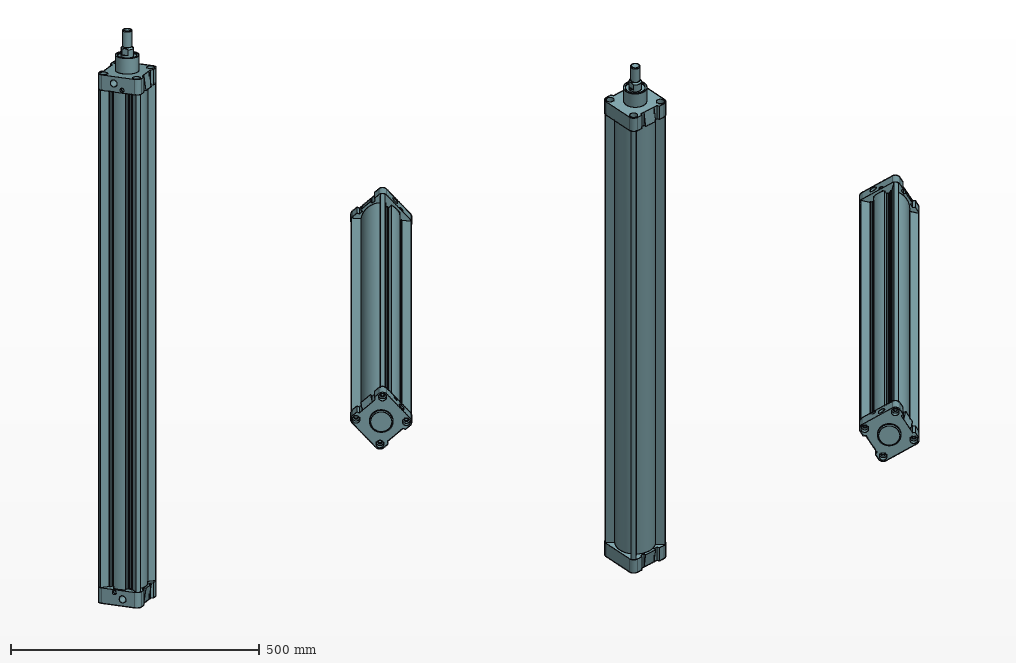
import cadquery as cq
import math


total_length = 1218.0
spigot_height = 6.0
cap_height = 33.0
rear_cap_top = spigot_height + cap_height
front_cap_top = 1132.0
front_cap_bottom = front_cap_top - cap_height
guide_top = 1165.0
shaft_top = 1183.0

cap_width = 94.0
half_width = cap_width / 2
corner_radius = 11.0
corner_center = half_width - corner_radius
screw_hole_diameter = 16.0
screw_hole_depth = 12.0
socket_diameter = 9.0
socket_depth = 18.0

recess_width = 48.0
recess_depth = 5.0
recess_wall_slant = 2.0
rib_width = 27.0

port_diameter = 15.0
port_offset = 10.0
port_end_distance = 15.0
cushion_diameter = 9.0
cushion_depth = 6.0
cushion_offset = 9.0
cushion_tube_distance = 6.0
chamber_diameter = 32.0
chamber_wall = 6.0

barrel_radius = 41.0
post_edge = 39.0
post_radius = 10.4
slot_center = 18.0
slot_width = 11.0
slot_ledge = 32.0
groove_width = 4.0
groove_floor = 28.0

guide_diameter = 48.0
seal_seat_diameter = 40.0
seal_seat_depth = 2.0
spigot_chamfer = 2.0
shaft_diameter = 25.0
shaft_chamfer = 4.0
flats_width = 22.0
flats_bottom = 1167.0
thread_diameter = 20.0
thread_chamfer = 1.8


def cylinder(diameter, bottom, top):
    return cq.Workplane("XY").workplane(offset=bottom).circle(diameter / 2).extrude(top - bottom)


def box(x_range, y_range, z_range):
    size = [high - low for low, high in (x_range, y_range, z_range)]
    corner = (x_range[0], y_range[0], z_range[0])
    return cq.Workplane("XY").box(*size, centered=False).translate(corner)


def side_recess(outer_z, inner_z):
    """Recess with slanted walls on the +X side; the rib left in it fades out at the cap's outer end."""
    floor_x = half_width - recess_depth
    mouth = recess_width / 2
    floor = mouth - recess_wall_slant
    recess = (
        cq.Workplane("XY")
        .workplane(offset=min(outer_z, inner_z))
        .polyline([(half_width, -mouth), (half_width, mouth), (floor_x, floor), (floor_x, -floor)])
        .close()
        .extrude(cap_height)
    )
    rib = (
        cq.Workplane("XZ")
        .polyline([(floor_x, inner_z), (half_width, inner_z), (floor_x, outer_z)])
        .close()
        .extrude(rib_width / 2, both=True)
    )
    return recess.cut(rib)


def front_hole(diameter, depth, x, z):
    """Blind hole drilled into the -Y face."""
    return (
        cq.Workplane("XZ", origin=(x, -half_width, z))
        .circle(diameter / 2)
        .extrude(-depth)
    )


def corner_holes(diameter, outer_z, depth):
    """Four blind holes centred on the rounded corners; the sign of depth is their Z direction."""
    return (
        cq.Workplane("XY")
        .workplane(offset=outer_z)
        .rect(2 * corner_center, 2 * corner_center, forConstruction=True)
        .vertices()
        .circle(diameter / 2)
        .extrude(depth)
    )


def end_cap(outer_z, inner_z, port_side):
    """Square cap; port_side is the X direction in which the port is offset."""
    inward = math.copysign(1, inner_z - outer_z)
    cap = (
        cq.Workplane("XY")
        .workplane(offset=min(outer_z, inner_z))
        .rect(cap_width, cap_width)
        .extrude(cap_height)
        .edges("|Z")
        .fillet(corner_radius)
    )
    recess = side_recess(outer_z, inner_z)
    port_z = outer_z + inward * port_end_distance
    cushion_z = inner_z - inward * cushion_tube_distance
    return (
        cap.cut(corner_holes(screw_hole_diameter, outer_z, inward * screw_hole_depth))
        .cut(corner_holes(socket_diameter, outer_z, inward * socket_depth))
        .cut(recess)
        .cut(recess.mirror("YZ"))
        .cut(front_hole(port_diameter, half_width, port_side * port_offset, port_z))
        .cut(front_hole(cushion_diameter, cushion_depth, -port_side * cushion_offset, cushion_z))
    )


def corner_post():
    """Post in the +X +Y corner: rounded outside, with 45 degree flanks running into the barrel."""
    edge_height = corner_center + math.sqrt(post_radius**2 - (post_edge - corner_center) ** 2)
    diagonal = corner_center + post_radius / math.sqrt(2)
    flank_foot = edge_height - post_edge
    return (
        cq.Workplane("XY")
        .workplane(offset=rear_cap_top)
        .moveTo(0, flank_foot)
        .lineTo(post_edge, edge_height)
        .threePointArc((diagonal, diagonal), (edge_height, post_edge))
        .lineTo(flank_foot, 0)
        .close()
        .extrude(front_cap_bottom - rear_cap_top)
    )


def profile_tube():
    tube = cylinder(2 * barrel_radius, rear_cap_top, front_cap_bottom)
    post = corner_post()
    for index in range(4):
        tube = tube.union(post.rotate((0, 0, 0), (0, 0, 1), 90 * index))
    for side in (-1, 1):
        for width, floor in ((slot_width, slot_ledge), (groove_width, groove_floor)):
            x_range = (side * slot_center - width / 2, side * slot_center + width / 2)
            tube = tube.cut(box(x_range, (-half_width, -floor), (rear_cap_top, front_cap_bottom)))
    return tube


def rod_end():
    shaft_radius = shaft_diameter / 2
    seat_bottom = guide_top - seal_seat_depth
    shaft = cylinder(shaft_diameter, front_cap_bottom, shaft_top).faces(">Z").chamfer(shaft_chamfer)
    flat = box((-shaft_radius, shaft_radius), (flats_width / 2, shaft_radius), (flats_bottom, shaft_top))
    shaft = shaft.cut(flat).cut(flat.mirror("XZ"))
    thread = cylinder(thread_diameter, shaft_top, total_length).faces(">Z").chamfer(thread_chamfer)
    guide = cylinder(guide_diameter, front_cap_top, guide_top)
    guide = guide.cut(cylinder(seal_seat_diameter, seat_bottom, guide_top))
    return guide.union(shaft).union(thread)


rear_spigot = cylinder(guide_diameter, 0, spigot_height).faces("<Z").chamfer(spigot_chamfer)

rear_chamber = cylinder(chamber_diameter, spigot_height + chamber_wall, rear_cap_top)
rear_cap = end_cap(spigot_height, rear_cap_top, 1).cut(rear_chamber)
front_cap = end_cap(front_cap_top, front_cap_bottom, -1)

result = profile_tube().union(rear_cap).union(front_cap).union(rear_spigot).union(rod_end())